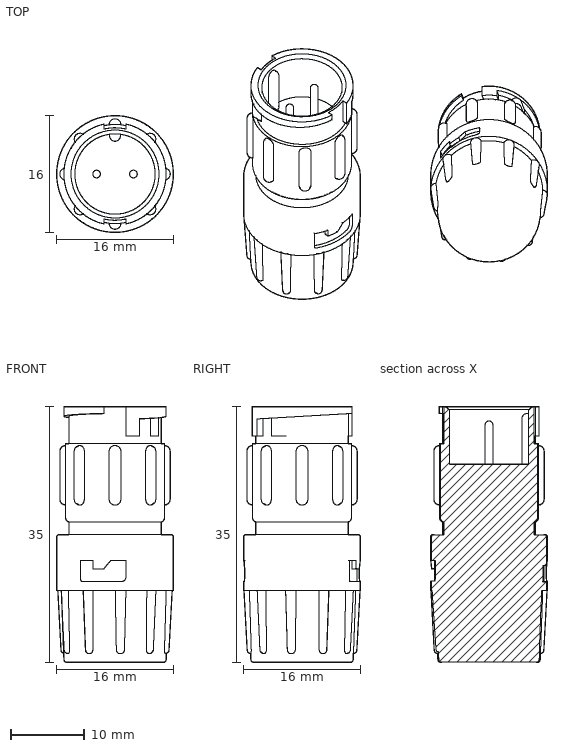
import cadquery as cq
import math


TOTAL_HEIGHT = 35.0

GRIP_BOTTOM_RADIUS = 7.0
GRIP_TOP_RADIUS = 7.35
GRIP_EDGE_ROUND = 0.42
COLLAR_RADIUS = 16.0 / 2
COLLAR_BOTTOM = 9.85
COLLAR_TOP = 17.5
COLLAR_EDGE_ROUND = 0.35

BODY_RADIUS = 6.35
SLEEVE_RADIUS = 6.8
SLEEVE_BOTTOM = 19.18
SLEEVE_TOP = 29.92
SLEEVE_EDGE_ROUND = 0.63

BORE_RADIUS = 5.5
BORE_FLOOR = 27.12
BORE_MOUTH_RADIUS = 6.02
BORE_CHAMFER_DEPTH = 0.42

GRIP_RIB_COUNT = 10
GRIP_RIB_START_ANGLE = 6.0
GRIP_RIB_TIP_Z = 1.75
GRIP_RIB_TIP_RADIUS = 0.55
GRIP_RIB_TIP_CENTRE = 7.0
GRIP_RIB_ROOT_RADIUS = 0.75
GRIP_RIB_ROOT_CENTRE = COLLAR_RADIUS - GRIP_RIB_ROOT_RADIUS

SLEEVE_RIB_COUNT = 8
SLEEVE_RIB_RADIUS = 0.8
SLEEVE_RIB_CENTRE = 6.75
SLEEVE_RIB_BOTTOM = 22.33
SLEEVE_RIB_TOP = 28.88

LIP_RADIUS = 7.0
LIP_GAP_WIDTH = 2.98
LIP_MID_Z = 33.67
LIP_SLOPE = 0.058
STOP_WIDTH = 1.9
STOP_BOTTOM = 30.98
LATCH_CENTRE_X = 5.2
LATCH_CENTRE_Y = -3.45
LATCH_ROUND = 0.75
LATCH_FLAT_END_Y = -2.1

POCKET_FLOOR_RADIUS = 7.5
POCKET_LEFT = -4.7
POCKET_RIGHT = 1.5
POCKET_BOTTOM = 11.05
POCKET_TOP = 13.93
POCKET_STEP_Z = 12.8
POCKET_STEP_LEFT = -3.0
POCKET_STEP_RIGHT = -1.55
POCKET_RAMP_TOP = -0.6
POCKET_SMALL_ROUND = 0.25
POCKET_LARGE_ROUND = 0.65

PIN_RADIUS = 0.52
PIN_OFFSET = 2.52
PIN_SHOULDER = 32.5
KEY_RADIUS = 0.75
KEY_OFFSET = 5.2
KEY_SHOULDER = 33.32


def cylinder(radius, bottom, top, x=0.0, y=0.0):
    return cq.Workplane("XY", origin=(x, y, bottom)).circle(radius).extrude(top - bottom)


def ball(radius, x, y, z):
    return cq.Workplane("XY").sphere(radius).translate((x, y, z))


def domed_pin(radius, x, y, bottom, shoulder):
    return cylinder(radius, bottom, shoulder, x, y).union(ball(radius, x, y, shoulder))


def around_axis(shape, count, start_angle=0.0):
    """Return count copies of shape evenly spaced about Z, as one object."""
    copies = cq.Workplane("XY")
    for index in range(count):
        angle = start_angle + index * 360.0 / count
        copies = copies.add(shape.rotate((0, 0, 0), (0, 0, 1), angle))
    return copies.combine()


def nut():
    grip = (
        cq.Workplane("XZ")
        .polyline([(0, 0), (GRIP_BOTTOM_RADIUS, 0), (GRIP_TOP_RADIUS, COLLAR_BOTTOM), (0, COLLAR_BOTTOM)])
        .close()
        .revolve(360, (0, 0, 0), (0, 1, 0))
        .faces("<Z").edges().fillet(GRIP_EDGE_ROUND)
    )
    collar = cylinder(COLLAR_RADIUS, COLLAR_BOTTOM, COLLAR_TOP)
    return grip.union(collar.faces(">Z").edges().fillet(COLLAR_EDGE_ROUND))


def plug_body():
    sleeve = cylinder(SLEEVE_RADIUS, SLEEVE_BOTTOM, SLEEVE_TOP)
    sleeve = sleeve.faces("<Z").edges().fillet(SLEEVE_EDGE_ROUND)
    return cylinder(BODY_RADIUS, COLLAR_TOP, TOTAL_HEIGHT).union(sleeve)


def grip_ribs():
    """Tapered ribs that lean inwards from the collar and end in a ball."""
    root = cq.Vector(0, -GRIP_RIB_ROOT_CENTRE, COLLAR_BOTTOM)
    tip = cq.Vector(0, -GRIP_RIB_TIP_CENTRE, GRIP_RIB_TIP_Z)
    rib = (
        cq.Workplane("XY", origin=tip.toTuple())
        .circle(GRIP_RIB_TIP_RADIUS)
        .workplane(offset=root.z - tip.z)
        .center(0, root.y - tip.y)
        .circle(GRIP_RIB_ROOT_RADIUS)
        .loft()
        .union(ball(GRIP_RIB_TIP_RADIUS, tip.x, tip.y, tip.z))
    )
    return around_axis(rib, GRIP_RIB_COUNT, GRIP_RIB_START_ANGLE)


def sleeve_ribs():
    rib = domed_pin(SLEEVE_RIB_RADIUS, 0, -SLEEVE_RIB_CENTRE, SLEEVE_RIB_BOTTOM, SLEEVE_RIB_TOP)
    rib = rib.union(ball(SLEEVE_RIB_RADIUS, 0, -SLEEVE_RIB_CENTRE, SLEEVE_RIB_BOTTOM))
    return around_axis(rib, SLEEVE_RIB_COUNT)


def bayonet_half():
    """The +X half of the lip, with the square stop and the rounded latch under it."""
    gap_edge = LIP_GAP_WIDTH / 2
    rise = LIP_SLOPE * LIP_RADIUS
    wedge = (
        cq.Workplane("YZ", origin=(gap_edge, 0, 0))
        .polyline([
            (-LIP_RADIUS, LIP_MID_Z - rise),
            (LIP_RADIUS, LIP_MID_Z + rise),
            (LIP_RADIUS, TOTAL_HEIGHT),
            (-LIP_RADIUS, TOTAL_HEIGHT),
        ])
        .close()
        .extrude(LIP_RADIUS)
    )
    stop = (
        cq.Workplane("XY", origin=(0, 0, STOP_BOTTOM))
        .moveTo(gap_edge, -LIP_RADIUS)
        .rect(STOP_WIDTH, LIP_RADIUS, centered=False)
        .extrude(LIP_MID_Z - STOP_BOTTOM)
    )
    lip = wedge.union(stop).intersect(cylinder(LIP_RADIUS, STOP_BOTTOM, TOTAL_HEIGHT))

    latch = cylinder(LATCH_ROUND, STOP_BOTTOM, LIP_MID_Z, LATCH_CENTRE_X, LATCH_CENTRE_Y)
    latch_tail = (
        cq.Workplane("XY", origin=(0, 0, STOP_BOTTOM))
        .moveTo(LATCH_CENTRE_X, LATCH_CENTRE_Y)
        .rect(LATCH_ROUND, LATCH_FLAT_END_Y - LATCH_CENTRE_Y, centered=False)
        .extrude(LIP_MID_Z - STOP_BOTTOM)
    )
    return lip.union(latch).union(latch_tail)


def socket():
    """Blind round opening with a chamfered mouth."""
    mouth_z = TOTAL_HEIGHT - BORE_CHAMFER_DEPTH
    return (
        cq.Workplane("XZ")
        .polyline([
            (0, BORE_FLOOR),
            (BORE_RADIUS, BORE_FLOOR),
            (BORE_RADIUS, mouth_z),
            (BORE_MOUTH_RADIUS, TOTAL_HEIGHT),
            (0, TOTAL_HEIGHT),
        ])
        .close()
        .revolve(360, (0, 0, 0), (0, 1, 0))
    )


def key():
    """Upright key on the +Y socket wall: domed nose, straight flanks and a rounded top."""
    back_length = BORE_MOUTH_RADIUS - KEY_OFFSET
    nose = domed_pin(KEY_RADIUS, 0, KEY_OFFSET, BORE_FLOOR, KEY_SHOULDER)
    back = (
        cq.Workplane("XY", origin=(0, KEY_OFFSET, BORE_FLOOR))
        .moveTo(-KEY_RADIUS, 0)
        .rect(2 * KEY_RADIUS, back_length, centered=False)
        .extrude(KEY_SHOULDER - BORE_FLOOR)
    )
    ridge = (
        cq.Workplane("XZ", origin=(0, KEY_OFFSET, KEY_SHOULDER))
        .circle(KEY_RADIUS)
        .extrude(-back_length)
    )
    return nose.union(back).union(ridge)


def marker_pocket():
    """Shallow pocket on the -Y side with a floor concentric to the collar."""
    diagonal = math.sqrt(0.5)
    small_inset = POCKET_SMALL_ROUND * (1 - diagonal)
    large_inset = POCKET_LARGE_ROUND * (1 - diagonal)
    outline = (
        cq.Workplane("XZ")
        .moveTo(POCKET_LEFT, POCKET_TOP)
        .lineTo(POCKET_STEP_LEFT, POCKET_TOP)
        .lineTo(POCKET_STEP_LEFT, POCKET_STEP_Z)
        .lineTo(POCKET_STEP_RIGHT, POCKET_STEP_Z)
        .lineTo(POCKET_RAMP_TOP, POCKET_TOP)
        .lineTo(POCKET_RIGHT, POCKET_TOP)
        .lineTo(POCKET_RIGHT, POCKET_BOTTOM + POCKET_LARGE_ROUND)
        .threePointArc(
            (POCKET_RIGHT - large_inset, POCKET_BOTTOM + large_inset),
            (POCKET_RIGHT - POCKET_LARGE_ROUND, POCKET_BOTTOM),
        )
        .lineTo(POCKET_LEFT + POCKET_SMALL_ROUND, POCKET_BOTTOM)
        .threePointArc(
            (POCKET_LEFT + small_inset, POCKET_BOTTOM + small_inset),
            (POCKET_LEFT, POCKET_BOTTOM + POCKET_SMALL_ROUND),
        )
        .close()
    )
    through = outline.extrude(COLLAR_RADIUS)
    return through.cut(cylinder(POCKET_FLOOR_RADIUS, COLLAR_BOTTOM, COLLAR_TOP))


outside = nut().union(plug_body()).union(grip_ribs()).union(sleeve_ribs())
outside = outside.union(around_axis(bayonet_half(), 2))
outside = outside.cut(around_axis(marker_pocket(), 2))

result = outside.cut(socket())
for pin_x in (-PIN_OFFSET, PIN_OFFSET):
    result = result.union(domed_pin(PIN_RADIUS, pin_x, 0, BORE_FLOOR, PIN_SHOULDER))

result = result.union(key())